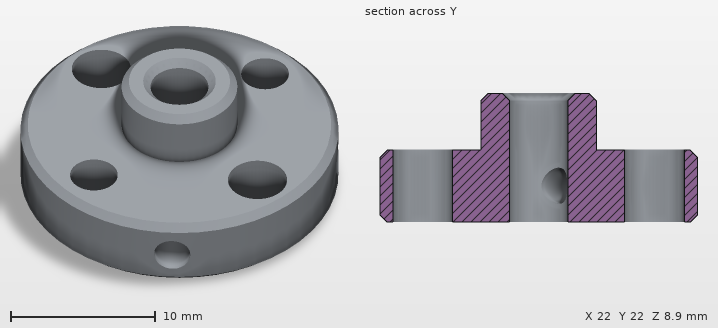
import cadquery as cq

flange_diameter = 22.0
flange_thickness = 5.0
hub_diameter = 8.0
total_height = 8.9
edge_chamfer = 0.5

bore_diameter = 4.0
bolt_circle_radius = 8.0
large_hole_diameter = 4.1
small_hole_diameter = 3.3
set_screw_diameter = 2.5
set_screw_angles = (-45.0, 45.0)


def make_body():
    """Chamfered flange with a chamfered hub on top."""
    flange = cq.Workplane("XY").circle(flange_diameter / 2).extrude(flange_thickness)
    flange = flange.edges("%CIRCLE").chamfer(edge_chamfer)
    hub = cq.Workplane("XY").circle(hub_diameter / 2).extrude(total_height)
    hub = hub.faces(">Z").edges().chamfer(edge_chamfer)
    return flange.union(hub)


def cut_bore(body):
    """Central through bore with a chamfered mouth at the hub end."""
    mouth_radius = bore_diameter / 2 + edge_chamfer
    bore = cq.Workplane("XY").circle(bore_diameter / 2).extrude(total_height)
    mouth = cq.Solid.makeCone(
        bore_diameter / 2,
        mouth_radius,
        edge_chamfer,
        pnt=cq.Vector(0, 0, total_height - edge_chamfer),
    )
    return body.cut(bore).cut(cq.Workplane(obj=mouth))


def cut_flange_holes(body):
    """Opposed pairs of through holes: large along X, small along Y."""
    large_positions = [(-bolt_circle_radius, 0), (bolt_circle_radius, 0)]
    small_positions = [(0, -bolt_circle_radius), (0, bolt_circle_radius)]
    for diameter, positions in (
        (large_hole_diameter, large_positions),
        (small_hole_diameter, small_positions),
    ):
        holes = cq.Workplane("XY").pushPoints(positions).circle(diameter / 2)
        body = body.cut(holes.extrude(flange_thickness))
    return body


def cut_set_screw_holes(body):
    """Radial holes at mid-thickness, from the rim into the bore."""
    hole = (
        cq.Workplane("YZ")
        .center(0, flange_thickness / 2)
        .circle(set_screw_diameter / 2)
        .extrude(flange_diameter / 2)
    )
    for angle in set_screw_angles:
        body = body.cut(hole.rotate((0, 0, 0), (0, 0, 1), angle))
    return body


result = cut_set_screw_holes(cut_flange_holes(cut_bore(make_body())))